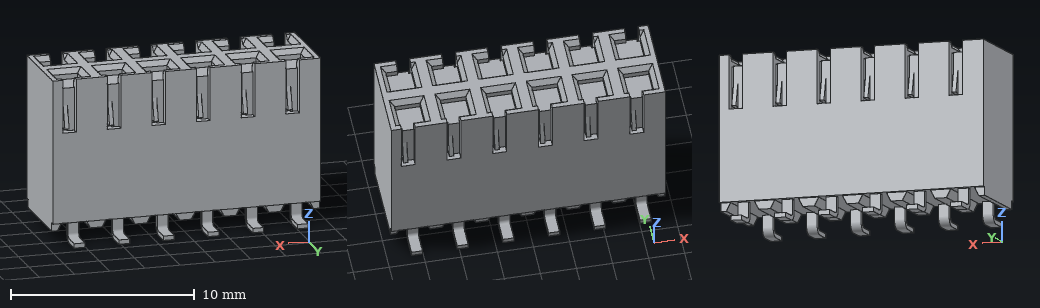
import cadquery as cq

columns = 6
length = 15.21
pitch = length / columns
width = 5.03
height = 9.35
overall_width = 6.75

body_bottom = 1.2
foot_bottom = 0.73
foot_setback = 0.23
foot_top_length = 1.17
foot_tip_length = 0.67

pocket_length = 1.93
pocket_width = 1.9
pocket_floor_size = 1.41
pocket_lead_in_depth = 0.29
pocket_depth = 0.58

slot_left = -pocket_floor_size / 2
slot_right = 0.06
slot_depth = 0.38
slot_height = 3.01
groove_width = 0.14
groove_depth = (width - pitch - pocket_floor_size) / 2

wedge_width = 0.25
wedge_top = height - 1.58
wedge_bottom = height - 2.83
wedge_setback = 0.06
wedge_undercut = 0.06

lead_width = 0.62
lead_thickness = 0.26
bend_inner_radius = 0.23
bend_outer_radius = bend_inner_radius + lead_thickness
lead_setback = 0.33
lead_embed = 0.15


def column_x(column):
    return (column - (columns - 1) / 2) * pitch


def box_between(x_range, y_range, z_range):
    size = [high - low for low, high in (x_range, y_range, z_range)]
    corner = (x_range[0], y_range[0], z_range[0])
    return cq.Workplane("XY").box(*size, centered=False).translate(corner)


def half_turn(shape):
    """Place a front-row feature in the back row."""
    return shape.rotate((0, 0, 0), (0, 0, 1), 180)


def make_foot(x):
    """Tapered standoff rail running across the underside."""
    foot_width = width - 2 * foot_setback
    return (
        cq.Workplane("XZ", origin=(x, foot_width / 2, 0))
        .moveTo(-foot_top_length / 2, body_bottom)
        .lineTo(foot_top_length / 2, body_bottom)
        .lineTo(foot_tip_length / 2, foot_bottom)
        .lineTo(-foot_tip_length / 2, foot_bottom)
        .close()
        .extrude(foot_width)
    )


def make_pocket(x):
    """Square pocket with a tapered lead-in, in the front row."""
    y = -pitch / 2
    lead_in = (
        cq.Workplane("XY", origin=(x, y, height))
        .rect(pocket_length, pocket_width)
        .workplane(offset=-pocket_lead_in_depth)
        .rect(pocket_floor_size, pocket_floor_size)
        .loft(ruled=True)
    )
    well = (
        cq.Workplane("XY", origin=(x, y, height - pocket_depth))
        .rect(pocket_floor_size, pocket_floor_size)
        .extrude(pocket_depth)
    )
    return lead_in.union(well)


def make_slot(x):
    """Slot in the front wall, open to the pocket and stepped deeper beside and below the wedge."""
    front = -width / 2
    left = x + slot_left
    right = x + slot_right
    bottom = height - slot_height
    pocket_floor = height - pocket_depth
    main = box_between((left, right), (front, front + slot_depth), (bottom, height))
    opening = box_between((left, right), (front, front + groove_depth), (pocket_floor, height))
    groove = box_between((left, left + groove_width), (front, front + groove_depth), (bottom, height))
    under_wedge = box_between(
        (left, left + groove_width + wedge_width), (front, front + groove_depth), (bottom, wedge_bottom)
    )
    return main.union(opening).union(groove).union(under_wedge)


def make_wedge(x):
    """Ramp that rises out of the slot's back wall toward its lower end."""
    front = -width / 2
    slot_back = front + slot_depth
    groove_back = front + groove_depth
    return (
        cq.Workplane("YZ", origin=(x + slot_left + groove_width, 0, 0))
        .moveTo(slot_back, wedge_top)
        .lineTo(front + wedge_setback, wedge_bottom)
        .lineTo(groove_back, wedge_bottom - wedge_undercut)
        .lineTo(groove_back, wedge_top)
        .close()
        .extrude(wedge_width)
    )


def make_lead(x):
    """Gull-wing lead, bent outward under the front edge."""
    tip = -overall_width / 2
    outer = -width / 2 + lead_setback
    inner = outer + lead_thickness
    bend_start = outer - bend_inner_radius
    bend_top = bend_outer_radius
    diagonal = 0.5 ** 0.5
    outer_mid = (bend_start + bend_inner_radius * diagonal, bend_top - bend_inner_radius * diagonal)
    inner_mid = (bend_start + bend_outer_radius * diagonal, bend_top - bend_outer_radius * diagonal)
    return (
        cq.Workplane("YZ", origin=(x - lead_width / 2, 0, 0))
        .moveTo(tip, 0)
        .lineTo(bend_start, 0)
        .threePointArc(inner_mid, (inner, bend_top))
        .lineTo(inner, body_bottom + lead_embed)
        .lineTo(outer, body_bottom + lead_embed)
        .lineTo(outer, bend_top)
        .threePointArc(outer_mid, (bend_start, lead_thickness))
        .lineTo(tip, lead_thickness)
        .close()
        .extrude(lead_width)
    )


ends = (-length / 2, length / 2)
sides = (-width / 2, width / 2)
housing = box_between(ends, sides, (body_bottom, height))

for index in range(columns + 1):
    housing = housing.union(make_foot((index - columns / 2) * pitch))
housing = housing.intersect(box_between(ends, sides, (foot_bottom, height)))

for column in range(columns):
    x = column_x(column)
    opening = make_pocket(x).union(make_slot(x))
    additions = make_wedge(x).union(make_lead(x))
    housing = housing.cut(opening).cut(half_turn(opening))
    housing = housing.union(additions).union(half_turn(additions))

result = housing